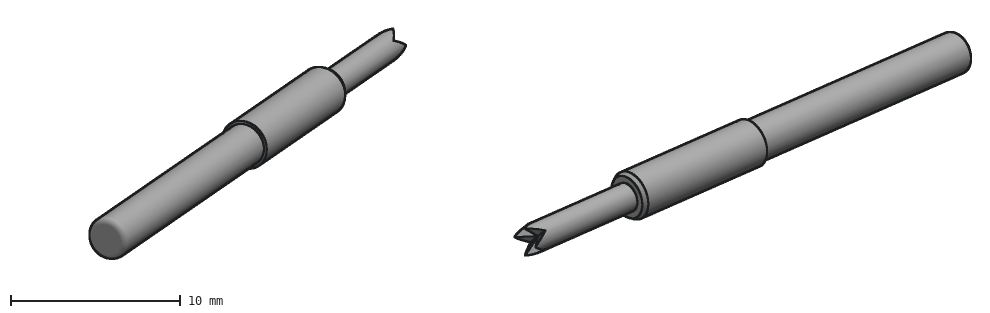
import cadquery as cq

total_length = 35.3
plunger_length = 8.3
collar_length = 10.0
plunger_radius = 1.8 / 2
collar_radius = 3.0 / 2
tail_radius = 2.6 / 2

collar_chamfer_length = 0.32
collar_chamfer_depth = 0.18
tail_fillet = 0.4

tooth_depth = 1.05
groove_angles = (45, 135)

tip_y = total_length / 2
tail_end_y = -total_length / 2
collar_front_y = tip_y - plunger_length
collar_back_y = collar_front_y - collar_length


def turned_body():
    """Revolve the half profile of plunger, collar and tail about Y."""
    profile = (
        cq.Workplane("XY")
        .moveTo(0, tail_end_y)
        .lineTo(tail_radius - tail_fillet, tail_end_y)
        .radiusArc((tail_radius, tail_end_y + tail_fillet), -tail_fillet)
        .lineTo(tail_radius, collar_back_y)
        .lineTo(collar_radius, collar_back_y)
        .lineTo(collar_radius, collar_front_y - collar_chamfer_length)
        .lineTo(collar_radius - collar_chamfer_depth, collar_front_y)
        .lineTo(plunger_radius, collar_front_y)
        .lineTo(plunger_radius, tip_y)
        .lineTo(0, tip_y)
        .close()
    )
    return profile.revolve(360, (0, 0, 0), (0, 1, 0))


def crown_groove(angle):
    """V-groove through the axis, its flanks meeting the rim at the tooth tips."""
    half_width = plunger_radius / 2**0.5
    return (
        cq.Workplane("XY")
        .moveTo(0, tip_y - tooth_depth)
        .lineTo(half_width, tip_y)
        .lineTo(-half_width, tip_y)
        .close()
        .extrude(2 * plunger_radius, both=True)
        .rotate((0, 0, 0), (0, 1, 0), angle)
    )


result = turned_body()
for groove_angle in groove_angles:
    result = result.cut(crown_groove(groove_angle))